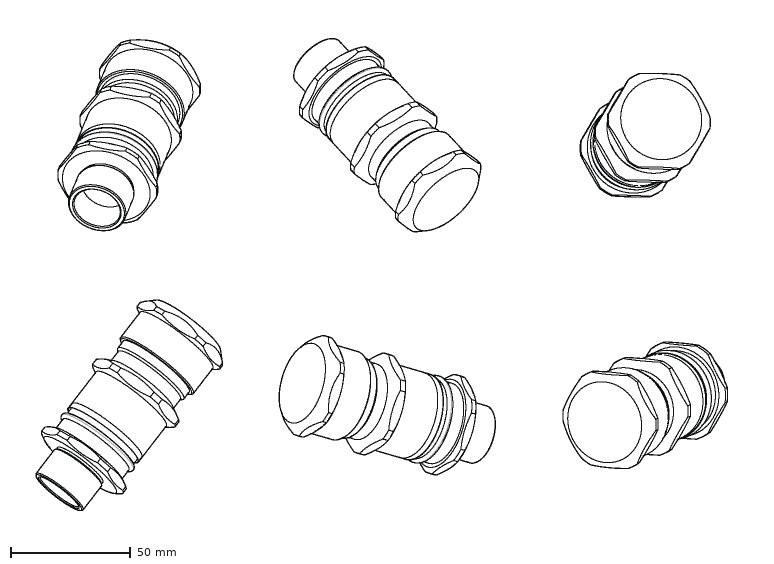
import cadquery as cq
import math

TOTAL_LENGTH = 90.0
ACROSS_FLATS = 40.0
SLOPE_30 = math.tan(math.radians(30))

SLEEVE_RADIUS = 38.6 / 2
SLEEVE_END_RADIUS = 37.4 / 2
BODY_RADIUS = 37.3 / 2
COLLAR_RADIUS = 35.0 / 2
WAIST_RADIUS = 33.0 / 2
THREAD_RADIUS = 25.0 / 2
THREAD_ROOT_RADIUS = 24.0 / 2
BORE_RADIUS = 20.2 / 2

CAP_NUT_START = 82.1
SLEEVE_START = 67.95
SLEEVE_CHAMFER = 0.5
COLLAR_START = 63.2
COLLAR_CHAMFER = COLLAR_RADIUS - WAIST_RADIUS
BODY_NUT_END = 58.0
BODY_NUT_START = 50.5
BODY_START = 31.0
ENTRY_NUT_END = 19.9
ENTRY_NUT_START = 14.9
THREAD_END = 13.9
THREAD_CHAMFER = THREAD_RADIUS - THREAD_ROOT_RADIUS

NUT_CORNER_RADIUS = 21.8
ENTRY_NUT_CORNER_RADIUS = 21.5
CAP_FACE_RADIUS = 17.3
ENTRY_NUT_FACE_RADIUS = 19.1

RING_SECTION_RADIUS = 1.3
RING_CENTER_RADIUS = 17.7
RING_Y = 27.1

SKIRT_THICKNESS = 0.3
SKIRT_DEPTH = 2.7

BORE_DEPTH = 13.3
BORE_CHAMFER = THREAD_CHAMFER


def revolve(profile):
    """Turn a closed profile of (radius, y) points about the Y axis."""
    return cq.Workplane("XY").polyline(profile).close().revolve(360, (0, 0), (0, 1))


def cylinder(radius, start, end):
    return revolve([(0, start), (radius, start), (radius, end), (0, end)])


def hex_nut(start, end, start_radius, end_radius, corner_radius, end_slope=SLOPE_30):
    """Hexagon with flats facing +Z and -Z, rounded corners and conical ends."""
    start_bevel = (corner_radius - start_radius) * SLOPE_30
    end_bevel = (corner_radius - end_radius) * end_slope
    blank = revolve([
        (0, start),
        (start_radius, start),
        (corner_radius, start + start_bevel),
        (corner_radius, end - end_bevel),
        (end_radius, end),
        (0, end),
    ])
    across_corners = ACROSS_FLATS / math.cos(math.radians(30))
    hexagon = (
        cq.Workplane("XZ", origin=(0, start, 0))
        .polygon(6, across_corners)
        .extrude(start - end)
    )
    return blank.intersect(hexagon)


def threaded_entry():
    """Chamfered entry tube with a relief neck below the nut."""
    return revolve([
        (0, 0),
        (THREAD_ROOT_RADIUS, 0),
        (THREAD_RADIUS, THREAD_CHAMFER),
        (THREAD_RADIUS, THREAD_END - THREAD_CHAMFER),
        (THREAD_ROOT_RADIUS, THREAD_END),
        (THREAD_ROOT_RADIUS, ENTRY_NUT_START),
        (0, ENTRY_NUT_START),
    ])


def collar_and_sleeve():
    """Waist, collar and cap sleeve, each with its own lower chamfer."""
    return revolve([
        (0, BODY_NUT_END),
        (WAIST_RADIUS, BODY_NUT_END),
        (WAIST_RADIUS, COLLAR_START),
        (COLLAR_RADIUS, COLLAR_START + COLLAR_CHAMFER),
        (COLLAR_RADIUS, SLEEVE_START),
        (SLEEVE_END_RADIUS, SLEEVE_START),
        (SLEEVE_RADIUS, SLEEVE_START + SLEEVE_CHAMFER),
        (SLEEVE_RADIUS, CAP_NUT_START),
        (0, CAP_NUT_START),
    ])


def sealing_ring():
    return (
        cq.Workplane("XY")
        .center(RING_CENTER_RADIUS, RING_Y)
        .circle(RING_SECTION_RADIUS)
        .revolve(360, (-RING_CENTER_RADIUS, 0), (-RING_CENTER_RADIUS, 1))
    )


def skirt_gap():
    """Annular gap between the body skirt and the collar inside it."""
    inner_radius = BODY_RADIUS - SKIRT_THICKNESS
    gap_end = BODY_START + SKIRT_DEPTH
    return cylinder(inner_radius, BODY_START, gap_end).cut(cylinder(COLLAR_RADIUS, BODY_START, gap_end))


def entry_bore():
    """Blind bore with a chamfered mouth."""
    return revolve([
        (0, 0),
        (BORE_RADIUS + BORE_CHAMFER, 0),
        (BORE_RADIUS, BORE_CHAMFER),
        (BORE_RADIUS, BORE_DEPTH),
        (0, BORE_DEPTH),
    ])


entry_nut = hex_nut(
    ENTRY_NUT_START, ENTRY_NUT_END,
    ENTRY_NUT_FACE_RADIUS, ENTRY_NUT_FACE_RADIUS, ENTRY_NUT_CORNER_RADIUS,
)
body_nut = hex_nut(BODY_NUT_START, BODY_NUT_END, BODY_RADIUS, WAIST_RADIUS, NUT_CORNER_RADIUS)
cap_nut = hex_nut(
    CAP_NUT_START, TOTAL_LENGTH, SLEEVE_RADIUS, CAP_FACE_RADIUS, NUT_CORNER_RADIUS, end_slope=1.0,
)

result = (
    threaded_entry()
    .union(entry_nut)
    .union(cylinder(COLLAR_RADIUS, ENTRY_NUT_END, BODY_START))
    .union(sealing_ring())
    .union(cylinder(BODY_RADIUS, BODY_START, BODY_NUT_START))
    .union(body_nut)
    .union(collar_and_sleeve())
    .union(cap_nut)
    .cut(skirt_gap())
    .cut(entry_bore())
)